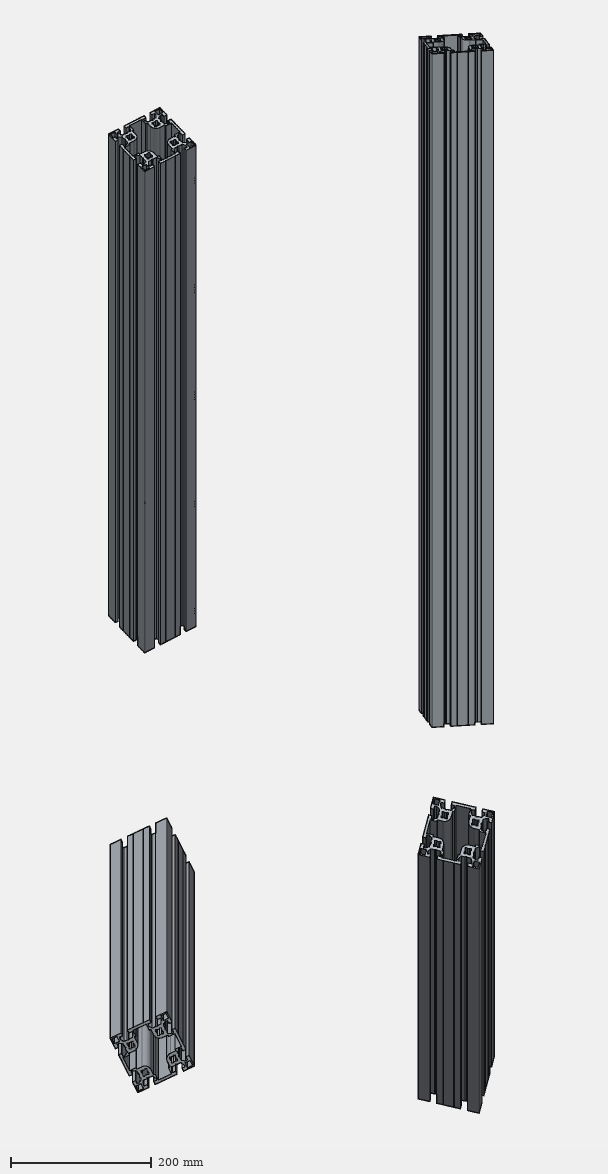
import cadquery as cq
import math

length = 1000.0
side = 90.0
half = side / 2
corner_radius = 0.5

slot_offset = side / 4
slot_opening = 10.0
lip_thickness = 5.0
chamber_width = 20.0
chamber_shoulder = 3.0
floor_width = 14.0
slot_depth = 13.0
floor_groove_width = 3.0
floor_groove_depth = 1.0

face_groove_offset = 8.0
face_groove_width = 0.8
face_groove_depth = 0.4

core_hole_diameter = 8.0
lobe_span = 12.0
lobe_width = 3.0
core_inner = 13.0
core_rounding = slot_offset - core_inner

wall = 4.0
arm_half_width = 10.5
arm_root = 31.0

cell_size = 8.0
cell_wall = 2.0


def prism(points):
    """Extrude a closed outline over the full length."""
    return cq.Workplane("XY").polyline(points).close().extrude(length)


def quarter_turns(solid):
    """Four copies of a solid, turned about the axis of the profile."""
    return [solid.rotate((0, 0, 0), (0, 0, 1), 90 * turn) for turn in range(4)]


def slot_cutter(center):
    """T-slot of the +Y face, with a tapered chamber and a V-groove in its floor."""
    lip_y = half - lip_thickness
    shoulder_y = lip_y - chamber_shoulder
    floor_y = half - slot_depth
    right = [
        (slot_opening / 2, half),
        (slot_opening / 2, lip_y),
        (chamber_width / 2, lip_y),
        (chamber_width / 2, shoulder_y),
        (floor_width / 2, floor_y),
        (floor_groove_width / 2, floor_y),
    ]
    tip = [(0, floor_y - floor_groove_depth)]
    left = [(-x, y) for x, y in reversed(right)]
    return prism([(center + x, y) for x, y in right + tip + left])


def face_groove_cutter(center):
    """Fine V-groove in the +Y face."""
    return prism([
        (center - face_groove_width / 2, half),
        (center, half - face_groove_depth),
        (center + face_groove_width / 2, half),
    ])


def cavity_quarter():
    """Quarter of the central cavity, bounded by the rounded corner of one core."""
    arc_middle = slot_offset - core_rounding * math.sqrt(0.5)
    return (
        cq.Workplane("XY")
        .lineTo(half - wall, 0)
        .lineTo(half - wall, arm_half_width)
        .lineTo(arm_root, arm_half_width)
        .lineTo(arm_root, core_inner)
        .lineTo(slot_offset, core_inner)
        .threePointArc((arc_middle, arc_middle), (core_inner, slot_offset))
        .lineTo(core_inner, arm_root)
        .lineTo(arm_half_width, arm_root)
        .lineTo(arm_half_width, half - wall)
        .lineTo(0, half - wall)
        .close()
        .extrude(length)
    )


def core_hole_cutter():
    """Round hole with lobes on both diagonals, in the +X +Y core."""
    hole = cq.Workplane("XY").circle(core_hole_diameter / 2).extrude(length)
    for angle in (45, 135):
        hole = hole.union(cq.Workplane("XY").slot2D(lobe_span, lobe_width, angle).extrude(length))
    return hole.translate((slot_offset, slot_offset, 0))


def corner_cell():
    """Square hollow in the +X +Y corner."""
    center = half - cell_wall - cell_size / 2
    return cq.Workplane("XY").center(center, center).rect(cell_size, cell_size).extrude(length)


cutters = [cavity_quarter(), core_hole_cutter(), corner_cell()]
for sign in (-1, 1):
    cutters.append(slot_cutter(sign * slot_offset))
    cutters.append(face_groove_cutter(sign * face_groove_offset))

result = cq.Workplane("XY").rect(side, side).extrude(length).edges("|Z").fillet(corner_radius)
for cutter in cutters:
    for copy in quarter_turns(cutter):
        result = result.cut(copy)